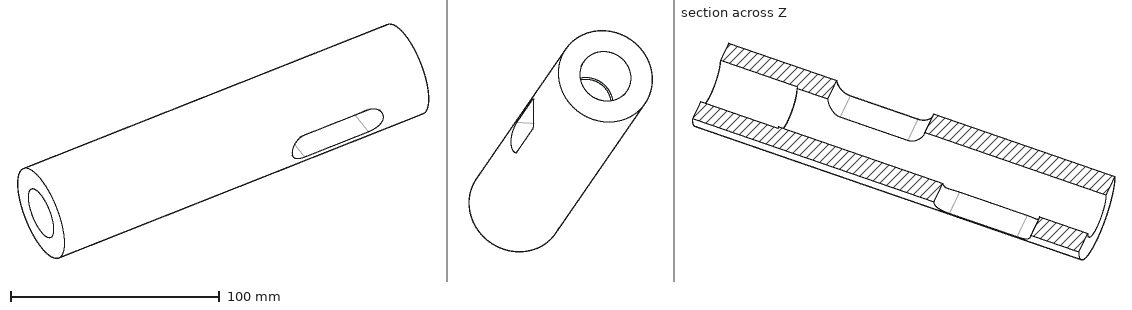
import cadquery as cq

length = 200.0
outer_diameter = 46.2
bore_diameter = 23.2
counterbore_diameter = 25.0
counterbore_depth = 40.0

slot_length = 50.0
slot_width = 15.0
left_slot_y = -19.0
right_slot_y = 50.0


def wall_slot(center_y, side):
    """Slot cutter from the tube axis outwards, side = -1 for -X or +1 for +X."""
    return (
        cq.Workplane("YZ")
        .center(center_y, 0)
        .slot2D(slot_length, slot_width)
        .extrude(side * outer_diameter)
    )


body = cq.Workplane("XZ", origin=(0, length / 2, 0)).circle(outer_diameter / 2).extrude(length)

bore = cq.Workplane("XZ", origin=(0, length / 2, 0)).circle(bore_diameter / 2).extrude(length)
counterbore = (
    cq.Workplane("XZ", origin=(0, counterbore_depth - length / 2, 0))
    .circle(counterbore_diameter / 2)
    .extrude(counterbore_depth)
)

result = (
    body.cut(bore)
    .cut(counterbore)
    .cut(wall_slot(left_slot_y, -1))
    .cut(wall_slot(right_slot_y, 1))
)